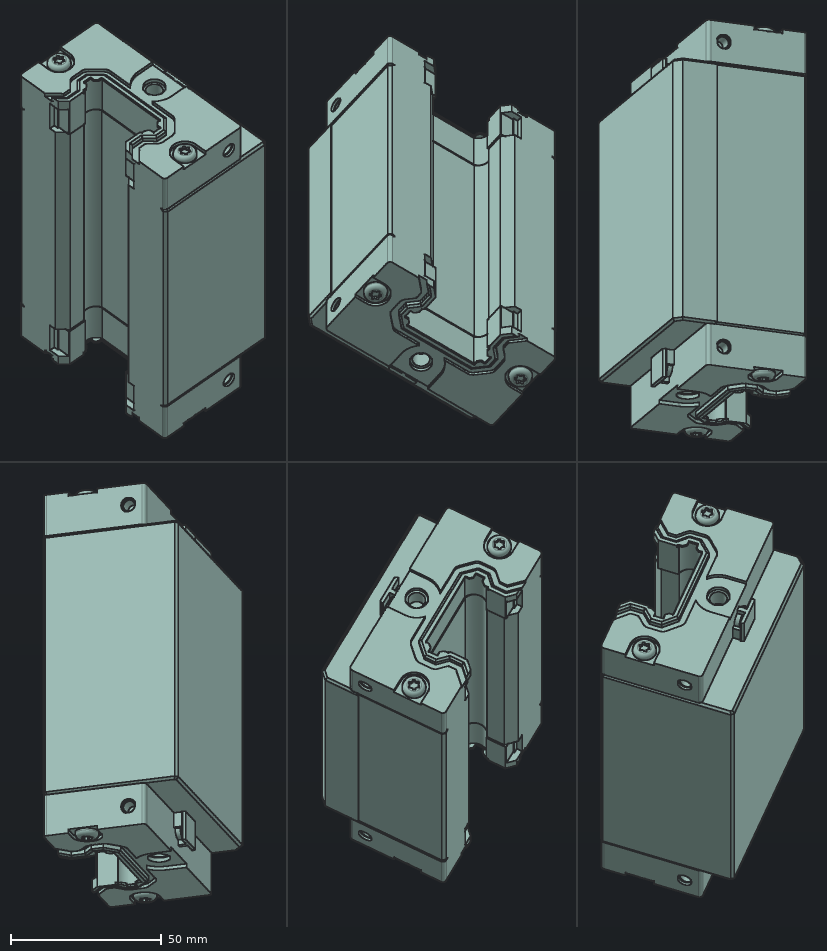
import cadquery as cq
import math


total_width = 70.0
total_height = 47.5
total_length = 123.5
half_length = total_length / 2

block_half_width = total_width / 2
block_half_length = 46.25
step_height = 32.5
step_depth = 0.5
left_top_chamfer = 2.6
right_top_chamfer = 1.0
bottom_chamfer = 1.0
end_chamfer = 0.85
edge_tolerance = 0.01
leg_half_gap = 13.9
leg_chamfer = 3.5

cap_half_width = 34.65
cap_height = 36.1
end_protrusion = 0.8
cap_end = half_length - end_protrusion
cap_corner_radius = 1.25

opening_top = 18.2
cap_opening_top = 18.5
cap_leg_half_gap = 13.4
cap_leg_chamfer = 2.75
race_half_gap = 14.05
race_bottom = 10.0
race_middle = (17.0, 14.1)
seal_leg_top = 9.2
seal_race_half = [
    (race_half_gap, 9.6),
    (race_half_gap, 11.0),
    (15.2, 12.4),
    (16.7, 12.4),
    (16.7, 15.7),
    (15.0, 15.7),
    (race_half_gap, 16.8),
    (race_half_gap, opening_top),
]

recess_depth = 1.3
recess_half = [(22.5, 0), (18, 4.5), (18, 7.4), (21.5, 10.9), (21.5, 17.5), (16, 23)]
recess_corner_radius = 3.0
recess_shoulder_height = 10.0
seal_half = [(19.2, 0), (15.6, 3.6), (15.6, 8.3), (19.0, 11.7), (19.0, 16.0), (14.5, 20.5)]
seal_bevel_height = 0.5
seal_bevel_width = 0.85
seal_run_out = 5.0

port_height = 29.1
port_pad_radius = 8.0
port_diameter = 5.81
port_mouth_diameter = 7.6
port_mouth_depth = 1.5
port_depth = 8.0

side_port_height = 30.0
side_port_inset = 7.1
side_port_z = cap_end - side_port_inset
side_port_diameter = 4.0
side_port_mouth_diameter = 5.0
side_port_mouth_depth = 1.0
side_port_depth = 6.0

screw_x = 30.0
screw_height = 14.0
screw_slot_width = 10.2
screw_slot_depth = 1.35
head_diameter = 8.0
head_round = 1.6
socket_core_diameter = 2.9
socket_lobe_diameter = 0.9
socket_lobes = 6
socket_depth = 1.2

window_outer_x = 20.0
window_step_x = 18.3
window_outer_depth = 2.0
window_inner_depth = 2.5
window_lid_thickness = 3.1
window_top = cap_end - window_lid_thickness

tab_half_width = 5.1
tab_top = 40.2
tab_plate_half_width = 5.5
tab_plate_bottom = 38.9
tab_plate_edge = 0.4
tab_end = 56.2
tab_web_half_width = 0.85
tab_notch_floor = 51.4
tab_bump_radius = 3.0
tab_bump_top = 37.9


def mirror_points(half):
    """Close a right-half outline, listed from Y = 0 upward, with its left half."""
    return half + [(-x, y) for x, y in reversed(half)]


def prism(points, z_start, z_end):
    return cq.Workplane("XY", origin=(0, 0, z_start)).polyline(points).close().extrude(z_end - z_start)


def box(x_range, y_range, z_range):
    size = [high - low for low, high in (x_range, y_range, z_range)]
    corner = (x_range[0], y_range[0], z_range[0])
    return cq.Workplane("XY").box(*size, centered=False).translate(corner)


def make_opening(half_gap, chamfer, top, z_start, z_end):
    """Rail opening with chamfered legs half_gap from the centre and a round ball race on each side."""
    race_x, race_y = race_middle
    opening = (
        cq.Workplane("XY", origin=(0, 0, z_start))
        .moveTo(half_gap + chamfer, 0)
        .lineTo(half_gap, chamfer)
        .lineTo(half_gap, race_bottom)
        .lineTo(race_half_gap, race_bottom)
        .threePointArc((race_x, race_y), (race_half_gap, top))
        .lineTo(-race_half_gap, top)
        .threePointArc((-race_x, race_y), (-race_half_gap, race_bottom))
        .lineTo(-half_gap, race_bottom)
        .lineTo(-half_gap, chamfer)
        .lineTo(-half_gap - chamfer, 0)
        .close()
    )
    return opening.extrude(z_end - z_start)


def make_block():
    w, h = block_half_width, total_height
    step_x = -w + step_depth
    outline = [
        (step_x + bottom_chamfer, 0),
        (w - bottom_chamfer, 0),
        (w, bottom_chamfer),
        (w, h - right_top_chamfer),
        (w - right_top_chamfer, h),
        (-w + left_top_chamfer, h),
        (-w, h - left_top_chamfer),
        (-w, step_height),
        (step_x, step_height),
        (step_x, bottom_chamfer),
    ]
    block = prism(outline, -block_half_length, block_half_length)
    end_edges = block.faces("|Z").edges().objects
    chamfered_edges = [edge for edge in end_edges if edge.Center().y > edge_tolerance]
    block = block.newObject(chamfered_edges).chamfer(end_chamfer)
    opening = make_opening(leg_half_gap, leg_chamfer, opening_top, -block_half_length, block_half_length)
    return block.cut(opening)


def make_cap_body():
    body = box((-cap_half_width, cap_half_width), (0, cap_height), (0, cap_end))
    body = body.edges("|Z").fillet(cap_corner_radius)
    core = box((-cap_half_width, cap_half_width), (0, cap_height), (0, block_half_length))
    return body.cut(core)


def make_seal_recess():
    """Sunken face around the seal, joined to the U-shaped pad around the grease port."""
    floor = cap_end - recess_depth
    recess = prism(mirror_points(recess_half), floor, cap_end)
    wall_edges = recess.edges("|Z").objects
    shoulder_edges = [edge for edge in wall_edges if edge.Center().y > recess_shoulder_height]
    recess = recess.newObject(shoulder_edges).fillet(recess_corner_radius)
    pad = cq.Workplane("XY", origin=(0, port_height, floor)).circle(port_pad_radius).extrude(recess_depth)
    pad_mouth = box((-port_pad_radius, port_pad_radius), (port_height, cap_height), (floor, cap_end))
    return recess.union(pad).union(pad_mouth)


def make_seal():
    floor = cap_end - recess_depth
    bevel_start = half_length - seal_bevel_height
    foot_x = seal_half[0][0]
    outline = mirror_points([(foot_x + seal_run_out, -seal_run_out)] + seal_half[1:])
    bevel_angle = math.degrees(math.atan2(seal_bevel_width, seal_bevel_height))
    base = prism(outline, floor, bevel_start)
    bevel = cq.Workplane("XY", origin=(0, 0, bevel_start)).polyline(outline).close()
    bevel = bevel.extrude(seal_bevel_height, taper=bevel_angle)
    above = box((-block_half_width, block_half_width), (0, total_height), (floor, half_length))
    legs = [(cap_leg_half_gap + cap_leg_chamfer, 0), (cap_leg_half_gap, cap_leg_chamfer)]
    legs.append((cap_leg_half_gap, seal_leg_top))
    opening = prism(mirror_points(legs + seal_race_half), cap_end, half_length)
    return base.union(bevel).intersect(above).cut(opening)


def counterbored_hole(face, mouth_diameter, mouth_depth, diameter, depth):
    """Blind hole with a wider mouth, sunk against the normal of the workplane face."""
    mouth = face.circle(mouth_diameter / 2).extrude(-mouth_depth)
    return mouth.union(face.circle(diameter / 2).extrude(-depth))


def make_grease_port():
    face = cq.Workplane("XY", origin=(0, port_height, cap_end - recess_depth))
    return counterbored_hole(face, port_mouth_diameter, port_mouth_depth, port_diameter, port_depth)


def make_side_port(side):
    flank = cq.Plane(
        origin=(side * cap_half_width, side_port_height, side_port_z),
        xDir=(0, 1, 0),
        normal=(side, 0, 0),
    )
    return counterbored_hole(
        cq.Workplane(flank),
        side_port_mouth_diameter,
        side_port_mouth_depth,
        side_port_diameter,
        side_port_depth,
    )


def make_screw_slot(side):
    floor = cap_end - screw_slot_depth
    radius = screw_slot_width / 2
    slot = cq.Workplane("XY", origin=(side * screw_x, screw_height, floor)).circle(radius)
    slot = slot.extrude(screw_slot_depth)
    edge = sorted((side * screw_x, side * cap_half_width))
    return slot.union(box(edge, (screw_height - radius, screw_height + radius), (floor, cap_end)))


def make_screw(side):
    head_radius = head_diameter / 2
    head_height = end_protrusion + screw_slot_depth
    head_origin = (side * screw_x, screw_height, cap_end - screw_slot_depth)
    head = cq.Workplane("XY").circle(head_radius).extrude(head_height)
    head = head.faces(">Z").edges().fillet(head_round)
    socket_plane = cq.Workplane("XY", origin=(0, 0, head_height - socket_depth))
    socket = socket_plane.circle(socket_core_diameter / 2).extrude(socket_depth)
    lobes = socket_plane.polarArray(socket_core_diameter / 2, 90, 360, socket_lobes)
    socket = socket.union(lobes.circle(socket_lobe_diameter / 2).extrude(socket_depth))
    return head.cut(socket).translate(head_origin)


def make_window(side):
    """Stepped window in the open-side corner of a cap leg, reaching down to the block."""
    z_range = (block_half_length, window_top)
    outer = box((window_step_x, window_outer_x), (0, window_outer_depth), z_range)
    inner = box((cap_leg_half_gap, window_step_x), (0, window_inner_depth), z_range)
    window = outer.union(inner)
    return window if side > 0 else window.mirror("YZ")


def make_tab():
    """Tab on the back of the cap: a tapered plate on a stem with a rounded bump in each side notch."""
    z_range = (block_half_length, tab_end)
    stem = box((-tab_half_width, tab_half_width), (cap_height, tab_plate_bottom), z_range)
    for side in (-1, 1):
        notch_x = sorted((side * tab_web_half_width, side * tab_half_width))
        notch = box(notch_x, (cap_height, tab_plate_bottom), (tab_notch_floor, tab_end))
        bump = cq.Workplane("XZ", origin=(side * tab_web_half_width, tab_bump_top, tab_notch_floor))
        bump = bump.circle(tab_bump_radius).extrude(tab_bump_top - cap_height)
        stem = stem.cut(notch.cut(bump))
    plate_half = [
        (tab_plate_half_width, tab_plate_bottom),
        (tab_plate_half_width, tab_plate_bottom + tab_plate_edge),
        (tab_half_width, tab_top),
    ]
    return stem.union(prism(mirror_points(plate_half), block_half_length, tab_end))


def make_end():
    opening = make_opening(cap_leg_half_gap, cap_leg_chamfer, cap_opening_top, block_half_length, cap_end)
    end = make_cap_body().cut(make_seal_recess()).union(make_seal()).cut(opening).cut(make_grease_port())
    for side in (-1, 1):
        end = end.cut(make_side_port(side)).cut(make_window(side))
        end = end.cut(make_screw_slot(side)).union(make_screw(side))
    return end.union(make_tab())


end_assembly = make_end()
result = make_block().union(end_assembly).union(end_assembly.mirror("XY"))